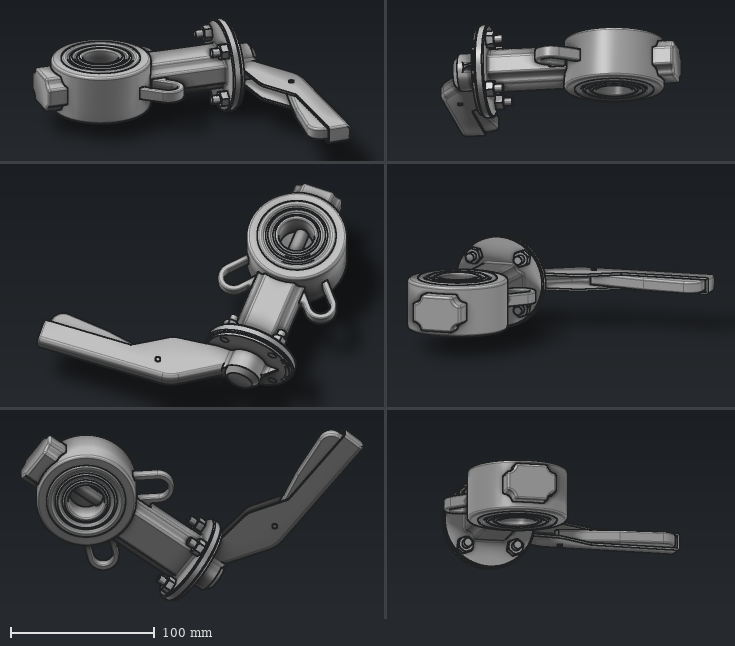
import cadquery as cq
import math


ring_d = 70.0
ring_height = 35.5
ring_round = 1.9
seat_d = 55.1
seat_height = 38.0
seat_bore = 25.0
seat_outer_round = 1.1
seat_bore_round = 1.1

crest_d = 39.8
crest_half_width = 0.2
shoulder_width = 1.5
shoulder_drop = 1.0
groove_half_width = 0.85
groove_depth = 1.5

disc_d = 23.7
disc_thickness = 3.7
stem_d = 10.5
stem_bottom = -33.6
stem_top = 106.5

neck_width = 35.1
neck_depth = 25.5
neck_scoop = 6.0
neck_round = 1.9
neck_bottom = -44.6
neck_end_round = 1.7
neck_root_round = 1.5

flange_d = 65.0
flange_bottom = 86.9
flange_thickness = 6.4
flange_chamfer = 1.0
plate_d = 60.7
plate_thickness = 2.2
notch_height = 1.5
notch_depth = 2.8
notch_spans = [(-29.9, -19.4), (-13.5, 13.5), (19.4, 29.9)]

lug_angle = 50.0
lug_radius = 50.3
lug_outer_r = 11.2
lug_inner_r = 6.7
lug_thickness = 8.5
lug_round = 1.0
lug_root_round = 1.9
lug_strip_width = 5.6
lug_strip_rise = 9.3

bolt_spacing = 35.5
bolt_d = 6.0
bolt_end = 75.5
nut_flats = 10.0
nut_thickness = 5.6
nut_chamfer = 0.5

hub_d = 26.3
hub_height = 17.4
hub_chamfer = 4.0
fin_thickness = 1.9
fin_reach = 22.2
root_fillet = 3.7
lever_width = 12.1
lever_wall = 1.7
lever_inner_top = (0.0, 102.4)
lever_bend_start = (39.2, 128.7)
lever_bend_end = (50.8, 132.6)
lever_heel = (142.4, 135.6)
lever_tip = (143.3, 118.3)
lever_grip_start = (79.8, 116.0)
lever_belly_end = (57.4, 101.3)
lever_belly_start = (50.5, 98.8)
lever_base_x = 22.5
lever_top_round = 4.0
lever_tip_round = 1.5
cavity_start = 20.5

pivot_x = 58.0
pivot_y = 120.3
pivot_d = 3.5
pivot_length = 13.5
trigger_round = 1.5
trigger_top = 123.0
trigger_front_x = 55.0
trigger_toe = (56.6, 117.1)
trigger_bend = (98.3, 109.5)
trigger_end_start = (128.9, 106.7)
trigger_end_stop = (139.4, 115.8)

select_margin = 0.1

flange_top = flange_bottom + flange_thickness
plate_top = flange_top + plate_thickness
hub_top = plate_top + hub_height
bolt_offset = bolt_spacing / 2
nut_corners = nut_flats / math.cos(math.radians(30))
cavity_width = lever_width - 2 * lever_wall
cavity_end = lever_tip[0] - lever_wall


def cylinder_y(diameter, start, end, x=0.0, z=0.0):
    """Cylinder along +Y from start to end."""
    return cq.Workplane("XZ", origin=(x, start, z)).circle(diameter / 2).extrude(start - end)


def cylinder_z(diameter, length, x=0.0, y=0.0):
    """Cylinder along Z, centred on Z = 0."""
    return cq.Workplane("XY").center(x, y).circle(diameter / 2).extrude(length / 2, both=True)


def make_neck():
    half_w = neck_width / 2
    half_d = neck_depth / 2
    neck = (
        cq.Workplane("XZ", origin=(0, neck_bottom, 0))
        .rect(neck_width, neck_depth)
        .extrude(neck_bottom - flange_bottom)
    )
    for x in (-half_w, half_w):
        for z in (-half_d, half_d):
            neck = neck.cut(cylinder_y(2 * neck_scoop, neck_bottom, flange_bottom, x, z))
    neck = neck.edges("|Y").fillet(neck_round)
    return neck.faces("<Y").edges().fillet(neck_end_round)


def lug_notch_point():
    """Where the upper edge of the +X lug runs into the side of the neck."""
    angle = math.radians(lug_angle)
    x = neck_width / 2
    return x, x * math.tan(angle) + lug_outer_r / math.cos(angle)


def lug_slot(radius):
    """Slot-ended bar from the ring centre along +X."""
    bar = cq.Workplane("XY").box(lug_radius, 2 * radius, lug_thickness, centered=(False, True, True))
    return bar.union(cylinder_z(2 * radius, lug_thickness, lug_radius))


def make_lug():
    """Elongated eye on the +X side with a strip that sinks into the neck."""
    lug = lug_slot(lug_outer_r).cut(lug_slot(lug_inner_r)).rotate((0, 0, 0), (0, 0, 1), lug_angle)
    notch_x, notch_y = lug_notch_point()
    strip = (
        cq.Workplane("XY")
        .box(lug_strip_width, notch_y + lug_strip_rise, lug_thickness, centered=(False, False, True))
        .translate((notch_x - lug_strip_width, 0, 0))
    )
    notch = cq.selectors.NearestToPointSelector((notch_x, notch_y, 0))
    lug = lug.union(strip).edges("|Z").edges(notch).fillet(lug_root_round)
    reach = lug_radius + lug_outer_r
    outside = cq.selectors.BoxSelector((notch_x - select_margin, notch_x, -reach), (reach, reach, reach))
    return lug.faces(">Z or <Z").edges().edges(outside).fillet(lug_round)


def make_housing():
    body = make_neck()
    flange = cylinder_y(flange_d, flange_bottom, flange_top).edges().chamfer(flange_chamfer)
    body = body.union(flange)
    root_zone = cq.selectors.BoxSelector(
        (-neck_width / 2 - select_margin, flange_bottom - select_margin, -neck_depth / 2 - select_margin),
        (neck_width / 2 + select_margin, flange_bottom + select_margin, neck_depth / 2 + select_margin),
        boundingbox=True,
    )
    body = body.edges(root_zone).fillet(neck_root_round)
    lug = make_lug()
    body = body.union(lug).union(lug.mirror("YZ"))
    ring = cylinder_z(ring_d, ring_height).edges().fillet(ring_round)
    body = body.union(ring)
    body = body.cut(cylinder_z(seat_d, ring_height))
    return body.cut(cylinder_y(stem_d, stem_bottom, flange_top))


def make_seat():
    top = seat_height / 2
    outer_r = seat_d / 2
    bore_r = seat_bore / 2
    shoulder = top - shoulder_drop
    valley = top - groove_depth
    groove_inner = crest_half_width + shoulder_width
    groove_mid = groove_inner + groove_half_width
    groove_outer = groove_mid + groove_half_width
    rim = groove_outer + shoulder_width

    def at(offset, z):
        return crest_d / 2 + offset, z

    profile = (
        cq.Workplane("XZ")
        .moveTo(bore_r, 0)
        .lineTo(outer_r, 0)
        .lineTo(outer_r, top - seat_outer_round)
        .tangentArcPoint((outer_r - seat_outer_round, top), relative=False)
        .lineTo(*at(rim, top))
        .tangentArcPoint(at(groove_outer, shoulder), relative=False)
        .threePointArc(at(groove_mid, valley), at(groove_inner, shoulder))
        .lineTo(*at(crest_half_width, top))
        .lineTo(*at(-crest_half_width, top))
        .tangentArcPoint(at(-groove_inner, shoulder), relative=False)
        .threePointArc(at(-groove_mid, valley), at(-groove_outer, shoulder))
        .lineTo(*at(-rim, top))
        .lineTo(bore_r + seat_bore_round, top)
        .tangentArcPoint((bore_r, top - seat_bore_round), relative=False)
        .close()
    )
    half = profile.revolve(360, (0, 0, 0), (0, 1, 0))
    seat = half.union(half.mirror("XY"))
    return seat.cut(cylinder_y(stem_d, -outer_r, outer_r))


def make_disc():
    disc = cylinder_z(disc_d, disc_thickness)
    return disc.union(cylinder_y(stem_d, stem_bottom, stem_top))


def notch_cutter(start, end):
    """Wedge between two angles measured from -X, as tall as a notch."""
    outline = [(0.0, 0.0)]
    for angle in (start, end):
        turn = math.radians(angle)
        outline.append((-plate_d * math.cos(turn), plate_d * math.sin(turn)))
    wedge = cq.Workplane("XZ", origin=(0, flange_top, 0)).polyline(outline).close().extrude(-notch_height)
    return wedge.cut(cylinder_y(plate_d - 2 * notch_depth, flange_top, flange_top + notch_height))


def make_plate():
    plate = cylinder_y(plate_d, flange_top, plate_top)
    for start, end in notch_spans:
        plate = plate.cut(notch_cutter(start, end))
    return plate.cut(cylinder_y(stem_d, flange_top, plate_top))


bolt_places = [
    (-bolt_offset, bolt_offset, 49.0),
    (bolt_offset, bolt_offset, 20.0),
    (-bolt_offset, -bolt_offset, 22.0),
    (bolt_offset, -bolt_offset, 20.0),
]


def make_bolt(x, z, nut_turn):
    nut_end = flange_bottom - nut_thickness
    nut = cq.Workplane("XZ", origin=(0, nut_end, 0)).polygon(6, nut_corners).extrude(-nut_thickness)
    nut = nut.intersect(cylinder_y(nut_corners, nut_end, flange_bottom).faces("<Y").chamfer(nut_chamfer))
    nut = nut.rotate((0, 0, 0), (0, 1, 0), -nut_turn).translate((x, 0, z))
    return nut.union(cylinder_y(bolt_d, bolt_end, plate_top, x, z))


def lever_prism(width, top_round):
    """Side outline of the lever, extruded across Z with rounded upper edges."""
    prism = (
        cq.Workplane("XY")
        .moveTo(lever_inner_top[0], plate_top)
        .lineTo(*lever_inner_top)
        .lineTo(*lever_bend_start)
        .tangentArcPoint(lever_bend_end, relative=False)
        .lineTo(*lever_heel)
        .lineTo(*lever_tip)
        .lineTo(*lever_grip_start)
        .lineTo(*lever_belly_end)
        .tangentArcPoint(lever_belly_start, relative=False)
        .lineTo(lever_base_x, plate_top)
        .close()
        .extrude(width / 2, both=True)
    )
    upper_edges = []
    for start, end in [(lever_inner_top, lever_bend_start), (lever_bend_end, lever_heel)]:
        for z in (-width / 2, width / 2):
            middle = ((start[0] + end[0]) / 2, (start[1] + end[1]) / 2, z)
            upper_edges.append(prism.edges(cq.selectors.NearestToPointSelector(middle)).val())
    return prism.newObject(upper_edges).fillet(top_round)


def flare(half_thickness, direction):
    """Concave fillets blending a flat arm into the hub, as a full-height block."""
    hub_r = hub_d / 2
    centre_z = half_thickness + root_fillet
    centre_x = math.sqrt((hub_r + root_fillet) ** 2 - centre_z ** 2)
    share = hub_r / (hub_r + root_fillet)
    block = (
        cq.Workplane("XZ", origin=(0, plate_top, 0))
        .polyline([
            (0, 0),
            (share * centre_x * direction, share * centre_z),
            (centre_x * direction, half_thickness),
            (centre_x * direction, -half_thickness),
            (share * centre_x * direction, -share * centre_z),
        ])
        .close()
        .extrude(-hub_height)
    )
    for z in (-centre_z, centre_z):
        block = block.cut(cylinder_y(2 * root_fillet, plate_top, hub_top, centre_x * direction, z))
    return block


def make_lever():
    hub = cylinder_y(hub_d, plate_top, hub_top).faces(">Y").chamfer(hub_chamfer)
    arm = lever_prism(lever_width, lever_top_round)
    arm = arm.faces(">X").edges("not(|Z and <Y)").fillet(lever_tip_round)
    cavity = lever_prism(cavity_width, lever_top_round - lever_wall).translate((0, -lever_wall, 0))
    cavity_reach = (
        cq.Workplane("XY")
        .box(cavity_end - cavity_start, lever_heel[1], cavity_width, centered=(False, False, True))
        .translate((cavity_start, 0, 0))
    )
    cavity = cavity.intersect(cavity_reach)
    fin_profile = (
        cq.Workplane("XY")
        .polyline([(0, plate_top), (-fin_reach, plate_top), (0, plate_top + fin_reach)])
        .close()
        .extrude(hub_d / 2, both=True)
    )
    fin_plan = flare(fin_thickness / 2, -1).union(
        cq.Workplane("XY").box(fin_reach, hub_height, fin_thickness, centered=(False, False, True))
        .translate((-fin_reach, plate_top, 0))
    )
    fin = fin_profile.intersect(fin_plan)
    arm_root = flare(lever_width / 2, 1).intersect(lever_prism(hub_d, lever_top_round))
    lever = arm.cut(cavity).union(arm_root).union(hub).union(fin)
    lever = lever.cut(cylinder_y(stem_d, plate_top, stem_top))
    return lever.cut(cylinder_z(pivot_d, lever_width, pivot_x, pivot_y))


def make_trigger():
    trigger = (
        cq.Workplane("XY")
        .moveTo(trigger_front_x, trigger_top)
        .lineTo(*trigger_toe)
        .lineTo(*trigger_bend)
        .lineTo(*trigger_end_start)
        .tangentArcPoint(trigger_end_stop, relative=False)
        .lineTo(trigger_end_stop[0], trigger_top)
        .close()
        .extrude(cavity_width / 2, both=True)
    )
    lower = cq.selectors.BoxSelector(
        (trigger_toe[0], trigger_end_start[1] - trigger_round, -cavity_width),
        (trigger_end_stop[0], trigger_toe[1] - select_margin, cavity_width),
    )
    trigger = trigger.edges("#Z").edges(lower).fillet(trigger_round)
    return trigger.union(cylinder_z(pivot_d, pivot_length, pivot_x, pivot_y))


housing = make_housing()
seat = make_seat()
disc = make_disc()
plate = make_plate()
bolts = []
for place in bolt_places:
    bolts.append(make_bolt(*place))
for x, z, _ in bolt_places:
    hole = cylinder_y(bolt_d, flange_bottom, plate_top, x, z)
    housing = housing.cut(hole)
    plate = plate.cut(hole)
lever = make_lever()
trigger = make_trigger()

result = cq.Compound.makeCompound([
    housing.val(),
    seat.val(),
    disc.val(),
    plate.val(),
    *[bolt.val() for bolt in bolts],
    lever.val(),
    trigger.val(),
])